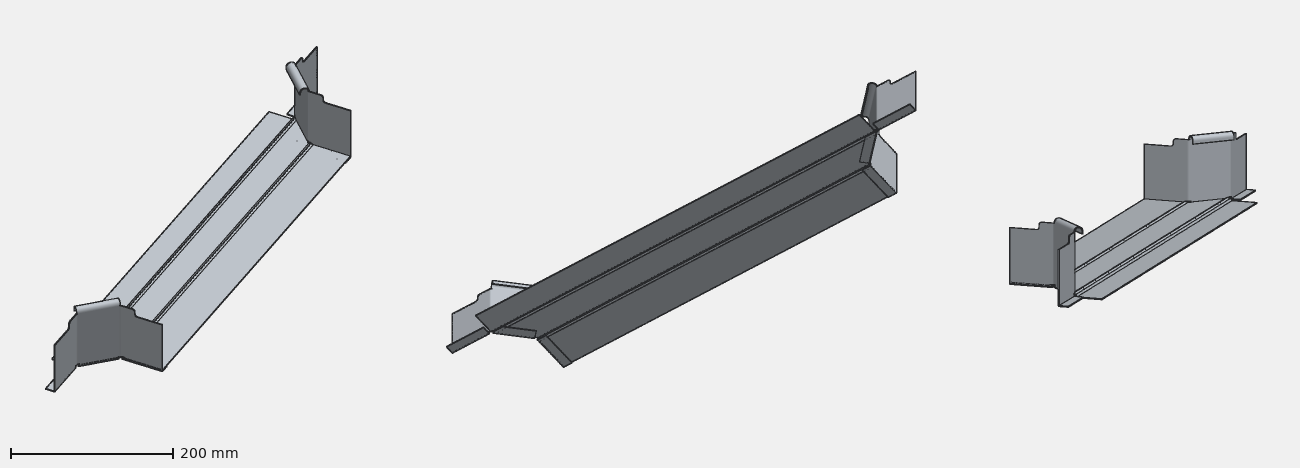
import cadquery as cq
import math

WIDTH = 133.5
LENGTH = 699.0
HEIGHT = 89.5
LEFT_X = -WIDTH / 2
RIGHT_X = WIDTH / 2
FAR_Y = LENGTH / 2

SHEET = 1.5

SIDE_WALL_X = -31.0
END_WALL_Y = 252.0
END_CORNER_X = 9.0
SIDE_CORNER_Y = END_WALL_Y + END_CORNER_X - SIDE_WALL_X
CORNER_BEND = 2.45

STEP_TOP = 73.5
STEP_LENGTH = 19.5
STEP_FILLET = 3.5

FOOT_REACH = 13.0
FOOT_BOTTOM = SHEET
FOOT_TOP = FOOT_BOTTOM + SHEET
FOOT_END_GAP = 2.0

RELIEF_RADIUS = 3.0
RELIEF_TOP = 5.5

ROLL_RADIUS = 6.0
LIP_BOTTOM = 80.0
WALL_TOP = HEIGHT - ROLL_RADIUS

STRIP_END_Y = 289.5
FLOOR_TOP = FOOT_TOP + SHEET
STEP_X = -34.6
FIRST_RIDGE_X = -29.7
SECOND_RIDGE_X = 12.25
RIDGE_HALF_WIDTH = 3.15
RIDGE_HEIGHT = 1.5

WALL_LINE = [
    (SIDE_WALL_X, FAR_Y),
    (SIDE_WALL_X, SIDE_CORNER_Y),
    (END_CORNER_X, END_WALL_Y),
    (RIGHT_X, END_WALL_Y),
]
CORNER_SHIFT = SHEET * math.tan(math.pi / 8)


def point_below(before, corner, after):
    """Corner of the lower surface, one sheet thickness under a corner of the upper surface."""
    slope_before = math.atan2(corner[1] - before[1], corner[0] - before[0])
    slope_after = math.atan2(after[1] - corner[1], after[0] - corner[0])
    mean_slope = (slope_before + slope_after) / 2
    reach = SHEET / math.cos((slope_after - slope_before) / 2)
    return (corner[0] + reach * math.sin(mean_slope), corner[1] - reach * math.cos(mean_slope))


def floor_plate():
    top = [(LEFT_X, SHEET), (STEP_X, SHEET)]
    for ridge_x in (FIRST_RIDGE_X, SECOND_RIDGE_X):
        top.append((ridge_x - RIDGE_HALF_WIDTH, FLOOR_TOP))
        top.append((ridge_x, FLOOR_TOP + RIDGE_HEIGHT))
        top.append((ridge_x + RIDGE_HALF_WIDTH, FLOOR_TOP))
    top.append((RIGHT_X, FLOOR_TOP))
    bottom = [point_below(*corners) for corners in zip(top, top[1:], top[2:])]
    bottom = [(LEFT_X, 0)] + bottom + [(RIGHT_X, FLOOR_TOP - SHEET)]
    section = cq.Workplane("XZ").polyline(top + bottom[::-1]).close()
    sheet = section.extrude(STRIP_END_Y, both=True)

    right_end_y = END_WALL_Y - SHEET
    diagonal_sum = END_CORNER_X + END_WALL_Y - SHEET * math.sqrt(2)
    far_side = [
        (LEFT_X, STRIP_END_Y),
        (diagonal_sum - STRIP_END_Y, STRIP_END_Y),
        (diagonal_sum - right_end_y, right_end_y),
        (RIGHT_X, right_end_y),
    ]
    near_side = [(x, -y) for x, y in reversed(far_side)]
    outline = cq.Workplane("XY").polyline(far_side + near_side).close().extrude(HEIGHT)
    return sheet.intersect(outline)


def vertical_edge_at(point):
    """Selector of the vertical edge above a point in plan."""
    x, y = point
    reach = SHEET / 4
    return cq.selectors.BoxSelector((x - reach, y - reach, 0), (x + reach, y + reach, HEIGHT))


def step_notch(plane, step_at, wall_end):
    """Piece above the low part of a wall, one sheet thick, with a rounded step."""
    cutter = (
        cq.Workplane(plane)
        .moveTo(step_at - STEP_FILLET, WALL_TOP)
        .radiusArc((step_at, WALL_TOP - STEP_FILLET), STEP_FILLET)
        .lineTo(step_at, STEP_TOP + STEP_FILLET)
        .radiusArc((step_at + STEP_FILLET, STEP_TOP), -STEP_FILLET)
        .lineTo(wall_end, STEP_TOP)
        .lineTo(wall_end, WALL_TOP)
        .close()
    )
    return cutter.extrude(SHEET)


def bracket_walls():
    inner_line = [
        (SIDE_WALL_X - SHEET, FAR_Y),
        (SIDE_WALL_X - SHEET, SIDE_CORNER_Y - CORNER_SHIFT),
        (END_CORNER_X - CORNER_SHIFT, END_WALL_Y - SHEET),
        (RIGHT_X, END_WALL_Y - SHEET),
    ]
    base_z = FOOT_TOP
    walls = (
        cq.Workplane("XY", origin=(0, 0, base_z))
        .polyline(WALL_LINE + inner_line[::-1])
        .close()
        .extrude(WALL_TOP - base_z)
    )
    for corner in WALL_LINE[1:3]:
        walls = walls.edges(vertical_edge_at(corner)).fillet(CORNER_BEND)
    for corner in inner_line[1:3]:
        walls = walls.edges(vertical_edge_at(corner)).fillet(CORNER_BEND + SHEET)

    side_plane = cq.Plane(origin=(SIDE_WALL_X - SHEET, 0, 0), xDir=(0, 1, 0), normal=(1, 0, 0))
    end_plane = cq.Plane(origin=(0, END_WALL_Y, 0), xDir=(1, 0, 0), normal=(0, -1, 0))
    walls = walls.cut(step_notch(side_plane, SIDE_CORNER_Y + STEP_LENGTH, FAR_Y))
    walls = walls.cut(step_notch(end_plane, END_CORNER_X + STEP_LENGTH, RIGHT_X))

    for x, y in WALL_LINE[1:3]:
        walls = walls.cut(cq.Workplane("XY").center(x, y).circle(RELIEF_RADIUS).extrude(RELIEF_TOP))
    return walls


def across_wall(start, end):
    """Plane across a wall at the end point: x from outer to inner face, y up, normal towards the start."""
    length = math.dist(start, end)
    along_x = (end[0] - start[0]) / length
    along_y = (end[1] - start[1]) / length
    return cq.Plane(origin=(*end, 0), xDir=(along_y, -along_x, 0), normal=(-along_x, -along_y, 0))


def foot(start, end, start_gap, end_gap):
    """Foot with its bend, along a wall from start to end and short of its ends by the gaps."""
    return (
        cq.Workplane(across_wall(start, end))
        .workplane(offset=end_gap)
        .moveTo(0, FOOT_TOP)
        .radiusArc((SHEET, FOOT_BOTTOM), -SHEET)
        .lineTo(FOOT_REACH, FOOT_BOTTOM)
        .lineTo(FOOT_REACH, FOOT_TOP)
        .close()
        .extrude(math.dist(start, end) - start_gap - end_gap)
    )


def diagonal_foot(start, end):
    """Foot of the diagonal wall, cut off where the plate above it steps down."""
    flat_start_x = FIRST_RIDGE_X - RIDGE_HALF_WIDTH + SHEET
    under_step = cq.Workplane("XY", origin=(LEFT_X, 0, 0)).rect(flat_start_x - LEFT_X, FAR_Y, centered=False)
    under_step = under_step.extrude(FOOT_TOP)
    return foot(start, end, FOOT_END_GAP, FOOT_END_GAP).cut(under_step)


def rolled_lip(start, end):
    """Half round roll on top of a wall, ending in a short lip that hangs down."""
    outer_x = 2 * ROLL_RADIUS
    return (
        cq.Workplane(across_wall(start, end))
        .moveTo(0, WALL_TOP)
        .threePointArc((ROLL_RADIUS, HEIGHT), (outer_x, WALL_TOP))
        .lineTo(outer_x, LIP_BOTTOM)
        .lineTo(outer_x - SHEET, LIP_BOTTOM)
        .lineTo(outer_x - SHEET, WALL_TOP)
        .threePointArc((ROLL_RADIUS, HEIGHT - SHEET), (SHEET, WALL_TOP))
        .close()
        .extrude(math.dist(start, end))
    )


def corner_bracket(end_sign):
    """Bracket at the +Y end (end_sign 1) or its mirror image at the -Y end (end_sign -1)."""
    side_end, side_corner, end_corner, end_end = WALL_LINE
    bracket = bracket_walls()
    bracket = bracket.union(foot(side_end, side_corner, 0, FOOT_END_GAP))
    bracket = bracket.union(diagonal_foot(side_corner, end_corner))
    bracket = bracket.union(foot(end_corner, end_end, FOOT_END_GAP, 0))
    bracket = bracket.union(rolled_lip(side_corner, end_corner))
    return bracket if end_sign > 0 else bracket.mirror("XZ")


plate = floor_plate()
brackets = [corner_bracket(end_sign) for end_sign in (1, -1)]

result = cq.Compound.makeCompound([plate.val(), *[bracket.val() for bracket in brackets]])